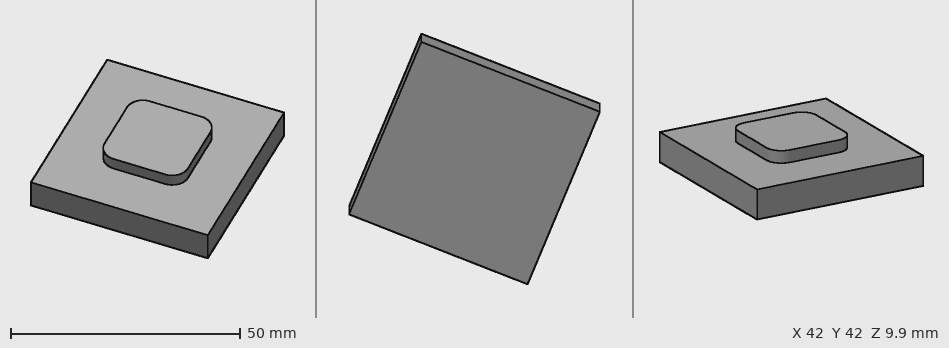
import cadquery as cq

plate_side = 42.0
plate_thickness = 7.0

total_height = 9.9
pad_side = 19.8
pad_corner_radius = 3.75
pad_height = total_height - plate_thickness

plate = cq.Workplane("XY").box(plate_side, plate_side, plate_thickness, centered=(True, True, False))

pad = (
    cq.Workplane("XY")
    .workplane(offset=plate_thickness)
    .rect(pad_side, pad_side)
    .extrude(pad_height)
    .edges("|Z")
    .fillet(pad_corner_radius)
)

result = plate.union(pad)